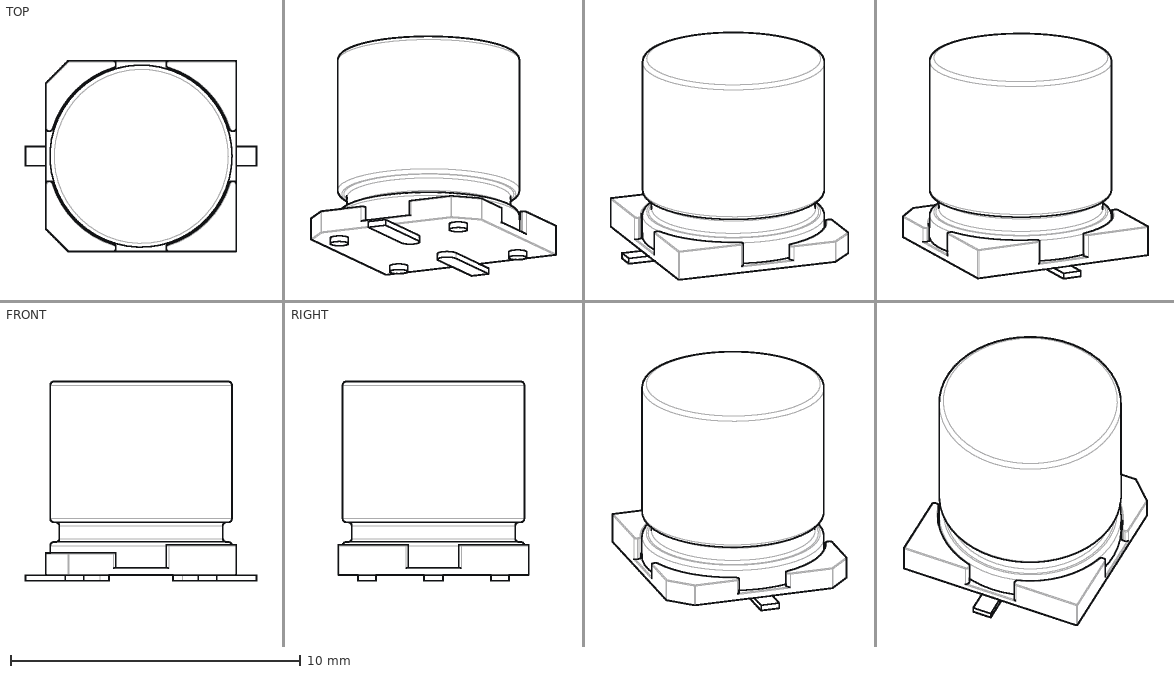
import cadquery as cq
import math

total_height = 6.9
terminal_span = 8.0
base_width = 6.6
base_half = base_width / 2

standoff = 0.2
floor_height = 0.46
low_block_height = 0.97
tall_block_height = 1.25
corner_cut = 0.78
slot_width = 1.73
slot_half = slot_width / 2
pocket_radius = 3.2
block_corner_radius = 0.1
edge_radius = 0.03

can_radius = 6.3 / 2
neck_radius = 5.67 / 2
rim_radius = 0.14
neck_fillet = 0.11
lower_lip_top = 1.35
upper_lip_bottom = 2.02

foot_radius = 0.63 / 2
foot_offset = 2.3
terminal_width = 0.67
terminal_tip = 1.1


def cut_corner_plate(top):
    """Square plate on the standoff plane with its two -X corners cut off."""
    return (
        cq.Workplane("XY", origin=(0, 0, standoff))
        .rect(base_width, base_width)
        .extrude(top - standoff)
        .edges("|Z and <X")
        .chamfer(corner_cut)
    )


def corner_block(x_side, y_side, top):
    """Corner block bounded by two slots and the round pocket."""
    reach = base_half - slot_half
    middle = (base_half + slot_half) / 2
    quadrant = (
        cq.Workplane("XY")
        .center(x_side * middle, y_side * middle)
        .rect(reach, reach)
        .extrude(top)
    )
    pocket = cq.Workplane("XY").circle(pocket_radius).extrude(top)
    block = cut_corner_plate(top).intersect(quadrant).cut(pocket)

    pocket_end = math.sqrt(pocket_radius**2 - slot_half**2)
    mid_height = (standoff + top) / 2
    for along in (base_half, pocket_end):
        for x, y in ((along, slot_half), (slot_half, along)):
            corner = (x_side * x, y_side * y, mid_height)
            edge = cq.selectors.NearestToPointSelector(corner)
            block = block.edges(edge).fillet(block_corner_radius)
    return block


def is_softened(edge):
    """True for block top edges and for the outer edges of the base."""
    tolerance = 1e-4
    box = edge.BoundingBox()
    center = edge.Center()
    on_side = max(abs(center.x), abs(center.y)) > base_half - tolerance
    if box.zlen > tolerance:
        spans_from_bottom = box.zmin < standoff + tolerance
        return on_side and spans_from_bottom
    on_block_top = center.z > floor_height + tolerance
    on_bottom = center.z < standoff + tolerance
    return on_block_top or on_bottom or on_side


def make_base():
    base = cut_corner_plate(floor_height)
    for y_side in (-1, 1):
        base = base.union(corner_block(-1, y_side, low_block_height))
        base = base.union(corner_block(1, y_side, tall_block_height))
    softened = [edge for edge in base.edges().vals() if is_softened(edge)]
    return base.newObject(softened).fillet(edge_radius)


def make_can():
    """Revolved can with a rolled groove above its lower lip."""
    lip_flat_end = can_radius - rim_radius
    neck_flat_end = neck_radius + neck_fillet
    return (
        cq.Workplane("XZ")
        .moveTo(0, floor_height)
        .lineTo(can_radius, floor_height)
        .lineTo(can_radius, lower_lip_top - rim_radius)
        .radiusArc((lip_flat_end, lower_lip_top), -rim_radius)
        .lineTo(neck_flat_end, lower_lip_top)
        .radiusArc((neck_radius, lower_lip_top + neck_fillet), neck_fillet)
        .lineTo(neck_radius, upper_lip_bottom - neck_fillet)
        .radiusArc((neck_flat_end, upper_lip_bottom), neck_fillet)
        .lineTo(lip_flat_end, upper_lip_bottom)
        .radiusArc((can_radius, upper_lip_bottom + rim_radius), -rim_radius)
        .lineTo(can_radius, total_height - rim_radius)
        .radiusArc((lip_flat_end, total_height), -rim_radius)
        .lineTo(0, total_height)
        .close()
        .revolve()
    )


def make_feet():
    """Four round feet under the corners of the base."""
    return (
        cq.Workplane("XY")
        .rect(2 * foot_offset, 2 * foot_offset, forConstruction=True)
        .vertices()
        .circle(foot_radius)
        .extrude(standoff)
    )


def make_terminal(x_side):
    """Flat lead with a rounded inner end."""
    outer_end = x_side * terminal_span / 2
    arc_start = x_side * (terminal_tip + terminal_width / 2)
    half_width = terminal_width / 2
    return (
        cq.Workplane("XY")
        .moveTo(outer_end, -half_width)
        .lineTo(arc_start, -half_width)
        .threePointArc((x_side * terminal_tip, 0), (arc_start, half_width))
        .lineTo(outer_end, half_width)
        .close()
        .extrude(standoff)
    )


result = make_base().union(make_can()).union(make_feet())
for x_side in (-1, 1):
    result = result.union(make_terminal(x_side))